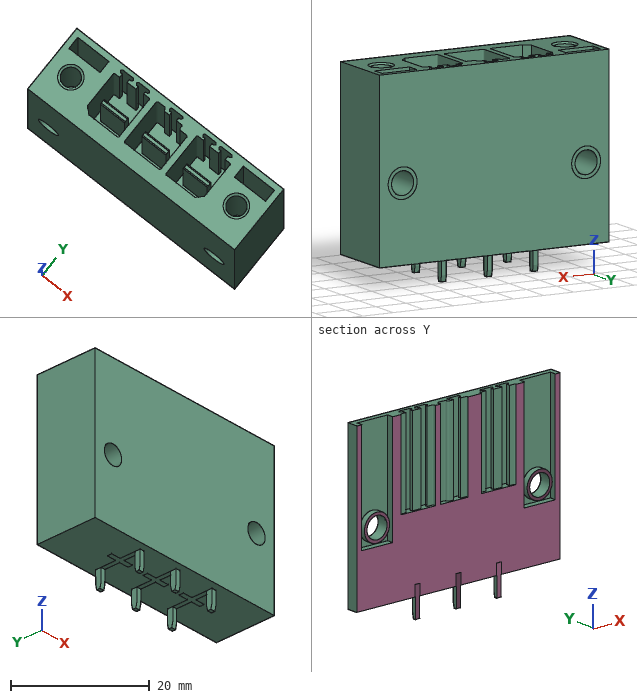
import cadquery as cq

length = 38.1
depth = 11.4
height = 28.4
front_y = -depth / 2
back_y = depth / 2

pitch = 7.62
mount_x = 2 * pitch
mount_z = 12.1
mount_hole_dia = 3.65

sleeve_dia = 4.8
sleeve_front_y = -2.65

slot_width = 5.7
slot_front_y = 2.65
slot_back_y = 4.72
slot_floor_z = mount_z - slot_width / 2
bore_dia = 3.05
bore_y = -0.5
countersink_dia = 3.8
countersink_depth = 0.23

pocket_depth = 15.25
pocket_floor_z = height - pocket_depth
pocket_front_y = -3.2
rib_y = 3.95
flange_front_y = 4.5
flange_back_y = 5.0
flange_width = 2.3
flange_round = 0.23
neck_width = 1.3

corner_tolerance = 0.005

outer_left = -3.12
outer_right = 3.28
outer_left_shoulder_y = 3.85
outer_right_shoulder_y = 4.1
outer_corner_chamfer = 0.95
outer_round = 0.15
outer_key_offsets = (-1.45, 1.5)

middle_half_width = 3.3
middle_step_x = 1.75
middle_low_y = 3.2
middle_round = 0.25
middle_step_inner_round = 0.15
middle_step_nose_round = 0.35

blade_width = 4.42
blade_thickness = 0.88
blade_top_z = height - 3.05
blade_chamfer_y = 0.2
blade_chamfer_z = 0.1
leg_spacing = 7.7
leg_width = 1.05
leg_tip_width = 0.65
leg_length = 3.43
leg_taper_length = 0.95
foot_height = 1.9
contact_thickness = 0.85


def box(x_min, x_max, y_min, y_max, z_min, z_max):
    """Axis-aligned box between two opposite corners."""
    size = (x_max - x_min, y_max - y_min, z_max - z_min)
    return cq.Workplane("XY").box(*size, centered=False).translate((x_min, y_min, z_min))


def cylinder_along_y(x, z, diameter, y_min, y_max):
    """Cylinder with its axis parallel to Y."""
    axis = cq.Vector(0, 1, 0)
    start = cq.Vector(x, y_min, z)
    return cq.Workplane(cq.Solid.makeCylinder(diameter / 2, y_max - y_min, start, axis))


def pocket_prism(points):
    """Extrude a pocket outline from the pocket floor to the top face."""
    return cq.Workplane("XY").workplane(offset=pocket_floor_z).polyline(points).close().extrude(pocket_depth)


def round_edges_at(body, corners, radius):
    """Round the vertical edges of a body at the given (x, y) corners."""
    middle_z = pocket_floor_z + pocket_depth / 2
    edges = body.edges("|Z").filter(
        lambda edge: any(
            (edge.Center() - cq.Vector(x, y, middle_z)).Length < corner_tolerance for x, y in corners
        )
    )
    return body.newObject(edges.vals()).fillet(radius)


def key_slot(x):
    """T-shaped coding slot: a neck open to the pocket and a rounded flange behind it."""
    flange = box(
        x - flange_width / 2, x + flange_width / 2, flange_front_y, flange_back_y, pocket_floor_z, height
    )
    flange = flange.edges("|Z").fillet(flange_round)
    neck = box(
        x - neck_width / 2, x + neck_width / 2, pocket_front_y, flange_front_y, pocket_floor_z, height
    )
    return flange.union(neck)


def outer_pocket():
    """Pocket around the -X contact, with one chamfered corner and two key slots."""
    left = -pitch + outer_left
    right = -pitch + outer_right
    key_xs = [-pitch + offset for offset in outer_key_offsets]
    pocket = pocket_prism([
        (left + outer_corner_chamfer, pocket_front_y),
        (right, pocket_front_y),
        (right, outer_right_shoulder_y),
        (key_xs[1], outer_right_shoulder_y),
        (key_xs[1], rib_y),
        (key_xs[0], rib_y),
        (key_xs[0], outer_left_shoulder_y),
        (left, outer_left_shoulder_y),
        (left, pocket_front_y + outer_corner_chamfer),
    ])
    square_corners = [
        (right, pocket_front_y),
        (right, outer_right_shoulder_y),
        (left, outer_left_shoulder_y),
    ]
    pocket = round_edges_at(pocket, square_corners, outer_round)
    for x in key_xs:
        pocket = pocket.union(key_slot(x))
    return pocket


def middle_pocket():
    """Pocket around the middle contact, with a stepped back wall and one key slot."""
    outer_corners = [
        (-middle_half_width, pocket_front_y),
        (middle_half_width, pocket_front_y),
        (middle_half_width, middle_low_y),
        (-middle_half_width, flange_front_y),
    ]
    step_noses = [
        (middle_step_x, middle_low_y),
        (-middle_step_x, rib_y),
    ]
    step_inner_corners = [
        (middle_step_x, rib_y),
        (-middle_step_x, flange_front_y),
    ]
    pocket = pocket_prism([
        *outer_corners[:3],
        step_noses[0],
        step_inner_corners[0],
        step_noses[1],
        step_inner_corners[1],
        outer_corners[3],
    ])
    pocket = round_edges_at(pocket, outer_corners, middle_round)
    pocket = round_edges_at(pocket, step_noses, middle_step_nose_round)
    pocket = round_edges_at(pocket, step_inner_corners, middle_step_inner_round)
    return pocket.union(key_slot(0))


def mounting_cuts(x):
    """Everything removed around one mounting hole."""
    hole = cylinder_along_y(x, mount_z, mount_hole_dia, front_y, back_y)
    sleeve_seat = cylinder_along_y(x, mount_z, sleeve_dia, sleeve_front_y, back_y)

    slot = box(x - slot_width / 2, x + slot_width / 2, slot_front_y, slot_back_y, slot_floor_z, height)
    bore = cq.Workplane("XY").circle(bore_dia / 2).extrude(height - mount_z).translate((x, bore_y, mount_z))
    countersink = cq.Workplane(cq.Solid.makeCone(
        bore_dia / 2,
        countersink_dia / 2,
        countersink_depth,
        cq.Vector(x, bore_y, height - countersink_depth),
    ))
    return [hole, sleeve_seat, slot, bore, countersink]


def make_sleeve(x):
    """Plain sleeve lining one mounting hole, flush with the back face."""
    outside = cylinder_along_y(x, mount_z, sleeve_dia, sleeve_front_y, back_y)
    return outside.cut(cylinder_along_y(x, mount_z, mount_hole_dia, sleeve_front_y, back_y))


def make_leg(y):
    """Solder leg below the housing, tapered towards its tip along Y."""
    half = leg_width / 2
    half_tip = leg_tip_width / 2
    taper_z = -leg_length + leg_taper_length
    return (
        cq.Workplane("YZ")
        .polyline([
            (y - half, 0),
            (y - half, taper_z),
            (y - half_tip, -leg_length),
            (y + half_tip, -leg_length),
            (y + half, taper_z),
            (y + half, 0),
        ])
        .close()
        .extrude(contact_thickness / 2, both=True)
    )


def make_contact(x):
    """One contact: blade, foot bar and a solder leg at each end of the bar."""
    half_bar = (leg_spacing + leg_width) / 2
    half_blade = blade_thickness / 2
    chamfer_z = blade_top_z - blade_chamfer_z
    blade = (
        cq.Workplane("YZ")
        .polyline([
            (-half_blade, 0),
            (half_blade, 0),
            (half_blade, chamfer_z),
            (half_blade - blade_chamfer_y, blade_top_z),
            (blade_chamfer_y - half_blade, blade_top_z),
            (-half_blade, chamfer_z),
        ])
        .close()
        .extrude(blade_width / 2, both=True)
    )
    contact = blade.union(
        box(-contact_thickness / 2, contact_thickness / 2, -half_bar, half_bar, 0, foot_height)
    )
    for y in (-leg_spacing / 2, leg_spacing / 2):
        contact = contact.union(make_leg(y))
    return contact.translate((x, 0, 0))


def make_housing(contacts):
    """Block with the contact pockets, the mounting openings and seats for the contacts."""
    body = box(-length / 2, length / 2, front_y, back_y, 0, height)
    side_pocket = outer_pocket()
    for pocket in (side_pocket, side_pocket.mirror("YZ"), middle_pocket()):
        body = body.cut(pocket)
    for x in (-mount_x, mount_x):
        for cut in mounting_cuts(x):
            body = body.cut(cut)
    for contact in contacts:
        body = body.cut(contact)
    return body


contacts = [make_contact(x) for x in (-pitch, 0, pitch)]
sleeves = [make_sleeve(x) for x in (-mount_x, mount_x)]
housing = make_housing(contacts)

result = cq.Compound.makeCompound([
    housing.val(),
    *[contact.val() for contact in contacts],
    *[sleeve.val() for sleeve in sleeves],
])